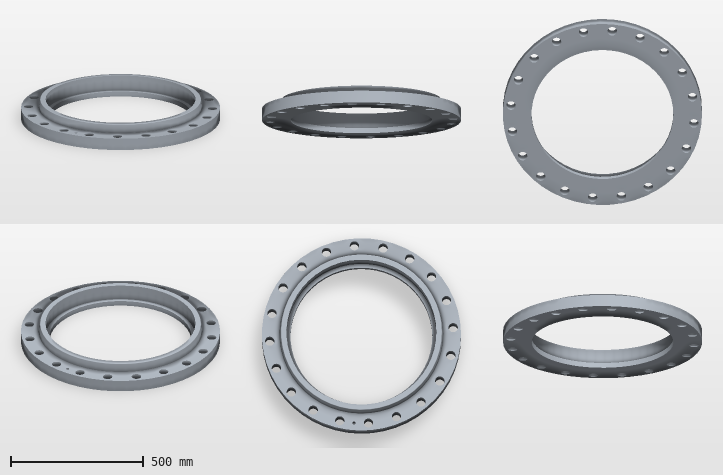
import cadquery as cq

outer_diameter = 749.0
flange_thickness = 45.0
total_height = 78.0

hub_base_diameter = 616.0
hub_top_diameter = 605.0
hub_rim_radius = 2.0
hub_root_radius = 1.0

recess_diameter = 564.0
bore_diameter = 533.0
lip_height = 19.5

bolt_count = 20
bolt_circle_diameter = 692.0
bolt_hole_diameter = 35.0

small_hole_diameter = 12.0
small_hole_depth = 22.5


def ring_body():
    """Revolve the ring's cross-section about the Z axis and round the hub's rim and root."""
    bore_radius = bore_diameter / 2
    outer_radius = outer_diameter / 2
    recess_radius = recess_diameter / 2
    section = (
        cq.Workplane("XZ")
        .moveTo(bore_radius, 0)
        .lineTo(outer_radius, 0)
        .lineTo(outer_radius, flange_thickness)
        .lineTo(hub_base_diameter / 2, flange_thickness)
        .lineTo(hub_top_diameter / 2, total_height)
        .lineTo(recess_radius, total_height)
        .lineTo(recess_radius, lip_height)
        .lineTo(bore_radius, lip_height)
        .close()
    )
    body = section.revolve(360, (0, 0, 0), (0, 1, 0))
    hub_rim = body.faces(">Z").edges(cq.selectors.RadiusNthSelector(-1))
    body = hub_rim.fillet(hub_rim_radius)
    hub_root = body.faces("%PLANE").faces(">Z[-2]").edges(cq.selectors.RadiusNthSelector(0))
    return hub_root.fillet(hub_root_radius)


def bolt_holes():
    """Through holes evenly spaced on the bolt circle, the first one on +X."""
    return (
        cq.Workplane("XY")
        .polarArray(bolt_circle_diameter / 2, 0, 360, bolt_count)
        .circle(bolt_hole_diameter / 2)
        .extrude(flange_thickness)
    )


def small_hole():
    """Blind hole in the flange's top face, half a bolt pitch from the -Y bolt hole towards +X."""
    half_pitch = 180 / bolt_count
    return (
        cq.Workplane("XY", origin=(0, 0, flange_thickness))
        .polarArray(bolt_circle_diameter / 2, -90 + half_pitch, 360, 1)
        .circle(small_hole_diameter / 2)
        .extrude(-small_hole_depth)
    )


result = ring_body().cut(bolt_holes()).cut(small_hole())